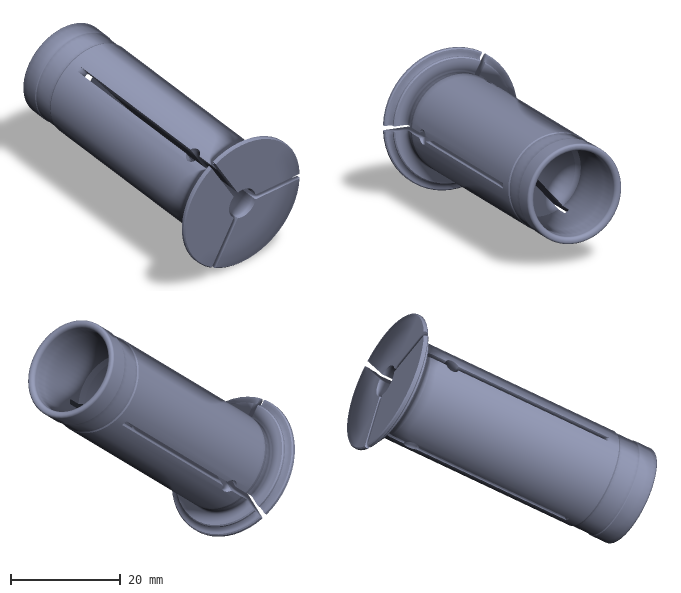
import cadquery as cq
import math

length = 52.5
flange_radius = 13.5
step_radius = 12.1
flange_start = 51.55
step_start = 50.55
step_end = 51.15
cove_outer_radius = 12.85
cove_curvature = 0.9
edge_break = 0.2

body_radius = 9.5
relief_radius = 9.35
nose_round = 0.45
nose_end = 3.95
body_start = 8.3
body_end = 48.45
neck_start = 49.2
groove_ramp = 0.3
neck_fillet = 0.35

front_bore_radius = 8.2
mouth_round = 0.75
front_bore_end = 14.45
cone_large_radius = 7.4
cone_start = 15.2
rear_bore_radius = 3.1
cone_end = 22.05

slot_count = 3
slot_width = 1.05
slot_start = 10.5
slot_end_angle = 45.0
relief_hole_x = 44.0
relief_hole_radius = 1.4


def make_sleeve():
    """Solid of revolution with the stepped outside and the tapered bore."""
    profile = (
        cq.Workplane("XY")
        .moveTo(mouth_round, front_bore_radius)
        .radiusArc((0, front_bore_radius + mouth_round), mouth_round)
        .lineTo(0, body_radius - nose_round)
        .radiusArc((nose_round, body_radius), nose_round)
        .lineTo(nose_end - groove_ramp / 2, body_radius)
        .lineTo(nose_end, relief_radius)
        .lineTo(body_start - groove_ramp, relief_radius)
        .lineTo(body_start, body_radius)
        .lineTo(body_end, body_radius)
        .lineTo(neck_start, relief_radius)
        .lineTo(step_start - neck_fillet, relief_radius)
        .radiusArc((step_start, relief_radius + neck_fillet), -neck_fillet)
        .lineTo(step_start, step_radius - edge_break)
        .lineTo(step_start + edge_break, step_radius)
        .lineTo(step_end, step_radius)
        .radiusArc((flange_start, cove_outer_radius), -cove_curvature)
        .lineTo(flange_start, flange_radius - edge_break)
        .lineTo(flange_start + edge_break, flange_radius)
        .lineTo(length - edge_break, flange_radius)
        .lineTo(length, flange_radius - edge_break)
        .lineTo(length, rear_bore_radius)
        .lineTo(cone_end, rear_bore_radius)
        .lineTo(cone_start, cone_large_radius)
        .lineTo(front_bore_end, front_bore_radius)
        .close()
    )
    return profile.revolve(360, (0, 0, 0), (1, 0, 0))


def make_slot_cutter():
    """Radial slot along +Y with a sloped closed end, plus its relief hole."""
    outer = flange_radius + 0.5
    slope = 1 / math.tan(math.radians(slot_end_angle))
    slot = (
        cq.Workplane("XY")
        .moveTo(slot_start + body_radius * slope, 0)
        .lineTo(slot_start, body_radius)
        .lineTo(slot_start, outer)
        .lineTo(length + 0.5, outer)
        .lineTo(length + 0.5, 0)
        .close()
        .extrude(slot_width / 2, both=True)
    )
    hole = (
        cq.Workplane("XZ")
        .center(relief_hole_x, 0)
        .circle(relief_hole_radius)
        .extrude(-outer)
    )
    return slot.union(hole)


result = make_sleeve()
slot_cutter = make_slot_cutter()
for index in range(slot_count):
    angle = index * 360 / slot_count
    result = result.cut(slot_cutter.rotate((0, 0, 0), (1, 0, 0), angle))